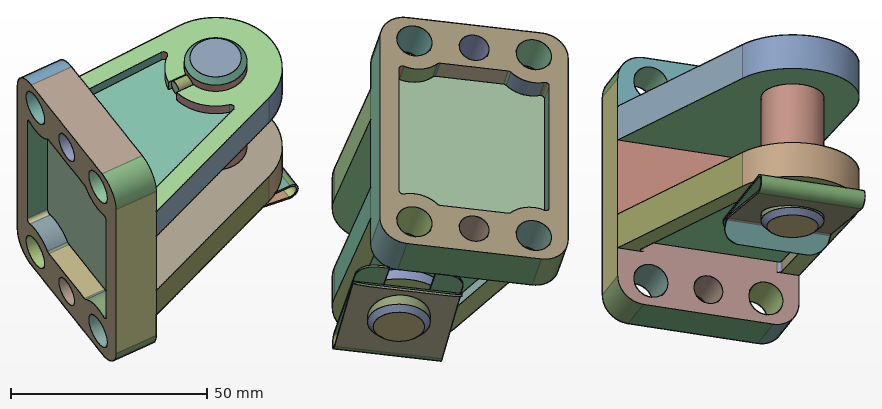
import cadquery as cq
import math


PLATE_WIDTH = 49.0
PLATE_HEIGHT = 70.0
PLATE_THICKNESS = 12.0
PLATE_CORNER_RADIUS = 7.0
CORNER_HOLE_DIAMETER = 9.2
MIDDLE_HOLE_DIAMETER = 7.8
HOLE_SPACING_X = 15.55
HOLE_SPACING_Z = 28.0

WALL = 5.0
POCKET_FILLET = 1.0
RECESS_WIDTH = PLATE_WIDTH - 2 * WALL
RECESS_HEIGHT = 44.0
RECESS_DEPTH = 6.0
CORNER_BOSS_RADIUS = 8.7

LUG_GAP = 21.0
LUG_THICKNESS = 9.6
LUG_RADIUS = 17.0
LUG_POCKET_DEPTH = 2.95
LUG_OUTER_Z = LUG_GAP / 2 + LUG_THICKNESS

PIN_X = -9.45
PIN_Y = 50.0
PIN_DIAMETER = 16.0
PIN_TOP_Z = 24.0
PIN_BOTTOM_Z = -26.0
PIN_CHAMFER = 1.5
GROOVE_DIAMETER = 12.0
GROOVE_HEIGHT = 1.2
PIN_BOSS_RADIUS = PIN_DIAMETER / 2 + WALL

PEG_DIAMETER = 4.0
PEG_REACH = 12.0
PEG_Z = LUG_OUTER_Z - LUG_POCKET_DEPTH + PEG_DIAMETER / 2

CLIP_WIDTH = 28.0
CLIP_STRIP = 0.55
CLIP_END_Y = 32.3
CLIP_CORNER_RADIUS = 5.0
CLIP_LOOP_RADIUS = 2.2
CLIP_LOOP_END_Y = 66.15
CLIP_ARM_SLOPE = 8.8
CLIP_ARM_LENGTH = 23.5
CLIP_BEND_RADIUS = 1.2
CLIP_TAIL_SLOPE = 39.0
CLIP_TAIL_LENGTH = 6.3


def polar(center, radius, degrees):
    """Point at a given radius and angle around a center."""
    angle = math.radians(degrees)
    return (center[0] + radius * math.cos(angle), center[1] + radius * math.sin(angle))


def side_normal(side):
    """Direction, in degrees, from the pin axis to the lug edge that is tangent to the lug's round end."""
    dx = side * PLATE_WIDTH / 2 - PIN_X
    dy = PLATE_THICKNESS - PIN_Y
    toward_corner = math.degrees(math.atan2(dy, dx))
    return toward_corner + side * math.degrees(math.acos(LUG_RADIUS / math.hypot(dx, dy)))


PIN_CENTER = (PIN_X, PIN_Y)
LEFT_NORMAL = side_normal(-1)
RIGHT_NORMAL = side_normal(1)


def make_plate():
    """Rounded plate with six through holes and a recess that leaves a boss around each corner hole."""
    corners = [(sx * HOLE_SPACING_X, sz * HOLE_SPACING_Z) for sx in (-1, 1) for sz in (-1, 1)]
    middles = [(0, sz * HOLE_SPACING_Z) for sz in (-1, 1)]
    face = cq.Workplane("XZ")
    plate = (
        face.rect(PLATE_WIDTH, PLATE_HEIGHT)
        .extrude(-PLATE_THICKNESS)
        .edges("|Y")
        .fillet(PLATE_CORNER_RADIUS)
    )
    corner_holes = face.pushPoints(corners).circle(CORNER_HOLE_DIAMETER / 2).extrude(-PLATE_THICKNESS)
    middle_holes = face.pushPoints(middles).circle(MIDDLE_HOLE_DIAMETER / 2).extrude(-PLATE_THICKNESS)
    bosses = face.pushPoints(corners).circle(CORNER_BOSS_RADIUS).extrude(-RECESS_DEPTH)
    recess = (
        face.rect(RECESS_WIDTH, RECESS_HEIGHT)
        .extrude(-RECESS_DEPTH)
        .cut(bosses)
        .edges("|Y")
        .fillet(POCKET_FILLET)
    )
    return plate.cut(corner_holes).cut(middle_holes).cut(recess)


def make_lug_pocket():
    """Tapered pocket bounded by the side walls, the plate and the boss around the pin, open at the top."""
    floor_z = LUG_OUTER_Z - LUG_POCKET_DEPTH
    inner_radius = LUG_RADIUS - WALL
    left_foot = -PLATE_WIDTH / 2 - WALL / math.cos(math.radians(LEFT_NORMAL))
    right_foot = PLATE_WIDTH / 2 - WALL / math.cos(math.radians(RIGHT_NORMAL))
    level = cq.Workplane("XY").workplane(offset=floor_z)
    pin_boss = level.center(*PIN_CENTER).circle(PIN_BOSS_RADIUS).extrude(LUG_POCKET_DEPTH)
    return (
        level.moveTo(left_foot, PLATE_THICKNESS)
        .lineTo(right_foot, PLATE_THICKNESS)
        .lineTo(*polar(PIN_CENTER, inner_radius, RIGHT_NORMAL))
        .lineTo(*polar(PIN_CENTER, inner_radius, LEFT_NORMAL))
        .close()
        .extrude(LUG_POCKET_DEPTH)
        .cut(pin_boss)
        .edges("|Z")
        .fillet(POCKET_FILLET)
    )


def make_upper_lug():
    """Lug with a round end around the pin hole and sides running tangent to the plate's edges."""
    lug = (
        cq.Workplane("XY")
        .workplane(offset=LUG_GAP / 2)
        .moveTo(-PLATE_WIDTH / 2, PLATE_THICKNESS)
        .lineTo(PLATE_WIDTH / 2, PLATE_THICKNESS)
        .lineTo(*polar(PIN_CENTER, LUG_RADIUS, RIGHT_NORMAL))
        .threePointArc(
            polar(PIN_CENTER, LUG_RADIUS, 90),
            polar(PIN_CENTER, LUG_RADIUS, LEFT_NORMAL),
        )
        .close()
        .extrude(LUG_THICKNESS)
    )
    pin_hole = (
        cq.Workplane("XY")
        .workplane(offset=LUG_GAP / 2)
        .center(*PIN_CENTER)
        .circle(PIN_DIAMETER / 2)
        .extrude(LUG_THICKNESS)
    )
    return lug.cut(pin_hole).cut(make_lug_pocket())


def make_peg():
    """Cylinder running from the pin axis toward the plate."""
    return (
        cq.Workplane("XZ", origin=(PIN_X, PIN_Y, PEG_Z))
        .circle(PEG_DIAMETER / 2)
        .extrude(PEG_REACH)
    )


def make_peg_slot():
    """Square slot from the pin hole to the pocket, as wide as the peg and as deep as the pocket."""
    slot = cq.Workplane("XY").box(
        PEG_DIAMETER, PIN_BOSS_RADIUS, LUG_POCKET_DEPTH, centered=(True, False, False)
    )
    return slot.translate((PIN_X, PIN_Y - PIN_BOSS_RADIUS, LUG_OUTER_Z - LUG_POCKET_DEPTH))


def make_bracket():
    """Plate and two mirrored lugs; only the upper lug has the peg slot."""
    upper_lug = make_upper_lug()
    lower_lug = upper_lug.mirror("XY")
    return make_plate().union(upper_lug.cut(make_peg_slot())).union(lower_lug)


def make_pin():
    """Chamfered pin with a clip groove just below the lower lug and the cross peg at the upper lug."""
    shaft = (
        cq.Workplane("XY", origin=(PIN_X, PIN_Y, PIN_BOTTOM_Z))
        .circle(PIN_DIAMETER / 2)
        .extrude(PIN_TOP_Z - PIN_BOTTOM_Z)
        .faces("<Z or >Z")
        .chamfer(PIN_CHAMFER)
    )
    groove = (
        cq.Workplane("XY", origin=(PIN_X, PIN_Y, -LUG_OUTER_Z))
        .circle(PIN_DIAMETER / 2)
        .circle(GROOVE_DIAMETER / 2)
        .extrude(-GROOVE_HEIGHT)
    )
    return shaft.cut(groove).union(make_peg())


def make_clip_strip():
    """Strip folded back by a loop: flat arm under the lug, sloping arm below it, and a bent-down tail."""
    half = CLIP_STRIP / 2
    outer_loop = CLIP_LOOP_RADIUS + half
    inner_loop = CLIP_LOOP_RADIUS - half
    upper_bend = CLIP_BEND_RADIUS + half
    lower_bend = CLIP_BEND_RADIUS - half
    arm_down = 270 - CLIP_ARM_SLOPE
    arm_up = 90 - CLIP_ARM_SLOPE
    arm_heading = 180 - CLIP_ARM_SLOPE
    tail_up = 90 + CLIP_TAIL_SLOPE
    tail_heading = 180 + CLIP_TAIL_SLOPE

    loop = (CLIP_LOOP_END_Y - outer_loop, -LUG_OUTER_Z - outer_loop)
    arm_start = polar(loop, CLIP_LOOP_RADIUS, arm_down)
    arm_end = polar(arm_start, CLIP_ARM_LENGTH, arm_heading)
    bend = polar(arm_end, CLIP_BEND_RADIUS, arm_down)
    tail_lower = polar(polar(bend, lower_bend, tail_up), CLIP_TAIL_LENGTH, tail_heading)
    tail_upper = polar(polar(bend, upper_bend, tail_up), CLIP_TAIL_LENGTH, tail_heading)

    return (
        cq.Workplane("YZ", origin=(PIN_X, 0, 0))
        .moveTo(CLIP_END_Y, -LUG_OUTER_Z)
        .lineTo(*polar(loop, outer_loop, 90))
        .threePointArc(polar(loop, outer_loop, 0), polar(loop, outer_loop, arm_down))
        .lineTo(*polar(bend, lower_bend, arm_up))
        .threePointArc(polar(bend, lower_bend, 90), polar(bend, lower_bend, tail_up))
        .lineTo(*tail_lower)
        .lineTo(*tail_upper)
        .lineTo(*polar(bend, upper_bend, tail_up))
        .threePointArc(polar(bend, upper_bend, 90), polar(bend, upper_bend, arm_up))
        .lineTo(*polar(loop, inner_loop, arm_down))
        .threePointArc(polar(loop, inner_loop, 0), polar(loop, inner_loop, 90))
        .lineTo(CLIP_END_Y, -LUG_OUTER_Z - CLIP_STRIP)
        .close()
        .extrude(CLIP_WIDTH / 2, both=True)
    )


def make_clip():
    """Clip whose flat arm forks around the pin groove and whose sloping arm has a hole for the pin end."""
    across_tail = cq.Vector(0, *polar((0, 0), 1, 90 + CLIP_TAIL_SLOPE))
    strip = (
        make_clip_strip()
        .edges("|Z")
        .fillet(CLIP_CORNER_RADIUS)
        .edges(cq.selectors.ParallelDirSelector(across_tail))
        .fillet(CLIP_CORNER_RADIUS)
    )
    flat_arm = cq.Workplane("XY", origin=(PIN_X, PIN_Y, -LUG_OUTER_Z))
    fork_length = PIN_Y - CLIP_END_Y
    fork_slot = (
        flat_arm.center(0, -fork_length / 2)
        .rect(GROOVE_DIAMETER, fork_length)
        .extrude(-CLIP_STRIP)
        .union(flat_arm.circle(GROOVE_DIAMETER / 2).extrude(-CLIP_STRIP))
    )
    pin_end_hole = (
        cq.Workplane("XY", origin=(PIN_X, PIN_Y, PIN_BOTTOM_Z))
        .circle(PIN_DIAMETER / 2)
        .extrude(-LUG_OUTER_Z - CLIP_STRIP - PIN_BOTTOM_Z)
    )
    return strip.cut(fork_slot).cut(pin_end_hole)


bracket = make_bracket()
pin = make_pin()
clip = make_clip()

result = cq.Compound.makeCompound([bracket.val(), pin.val(), clip.val()])